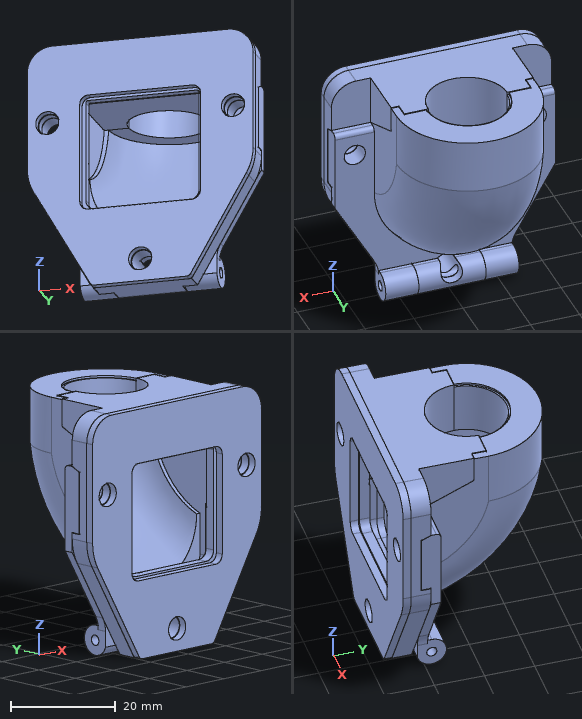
import cadquery as cq
import math


width = 45.0
height = 49.0
half_width = width / 2
shoulder_z = 22.0
taper_angle = 30.0
taper = math.tan(math.radians(taper_angle))
top_radius = 5.0
shoulder_radius = 10.0

gasket_back = 1.6
recess_floor = 3.68
flange_back = 5.6
plate_back = 7.6
pocket_back = 7.05
tab_gap = 0.1

screw_diameter = 4.3
gasket_screw_diameter = 4.55
screw_x = 18.45
screw_z = 33.55
bottom_screw_z = 4.5

window_half = 11.25
window_bottom = 15.9
window_top = 37.9
window_bottom_radius = 1.9
window_top_radius = 0.5
gasket_window_half = 12.0
gasket_window_bottom = 15.45
gasket_window_top = 38.4
gasket_window_radius = 1.7
gasket_corner_radius = 1.0

elbow_radius = 14.5
cavity_radius = 12.05
bend_axis_y = 1.0
bend_axis_z = 41.75
bore_y = 19.5
bend_z = 37.9
bend_radius = math.hypot(bore_y - bend_axis_y, bend_z - bend_axis_z)
bore_radius = 8.05
rim_radius = 8.45
rim_depth = 0.4
cover_top = height - 0.15

pocket_half = 12.95
pocket_bottom = 13.15
pocket_radius = 2.7
cheek_y = 16.6
seam_low_z = 38.0
seam_high_z = 43.6
seam_radius = 0.6
seam_slope = (seam_high_z - seam_low_z) / (cheek_y - recess_floor)

plate_top = seam_low_z + seam_slope * (flange_back - recess_floor)
plate_edge_radius = 1.0
tab_bottom = 25.9
hinge_half = 13.6
hinge_corner_radius = 5.5
hinge_radius = 3.0
hinge_y = 8.45
hinge_z = hinge_radius
pin_diameter = 2.0
knuckle_half = 6.85


def box(x_half, y_min, y_max, z_min, z_max):
    """Block centred on X = 0."""
    size = (2 * x_half, y_max - y_min, z_max - z_min)
    return cq.Workplane().box(*size, centered=(True, False, False)).translate((0, y_min, z_min))


def extrude_y(points, y_min, y_max):
    """Closed X-Z outline extruded from y_min to y_max."""
    return cq.Workplane("XZ", origin=(0, y_min, 0)).polyline(points).close().extrude(y_min - y_max)


def rod_x(radius, x_half):
    """Cylinder on the hinge axis."""
    return cq.Workplane("YZ", origin=(-x_half, hinge_y, hinge_z)).circle(radius).extrude(2 * x_half)


def round_corners_at(solid, z, radius):
    """Round the edges along Y that lie at height z."""
    margin = 0.5
    band = cq.selectors.BoxSelector((-width, -height, z - margin), (width, height, z + margin))
    return solid.edges("|Y").edges(band).fillet(radius)


def shield(y_min, y_max):
    """Shield outline with rounded top corners and shoulders."""
    foot_half = half_width - shoulder_z * taper
    right = [(half_width, height), (half_width, shoulder_z), (foot_half, 0)]
    left = [(-x, z) for x, z in reversed(right)]
    solid = extrude_y(right + left, y_min, y_max)
    solid = solid.edges("|Y").edges(">X or <X").edges(">Z").fillet(top_radius)
    return round_corners_at(solid, shoulder_z, shoulder_radius)


def screw_holes(diameter):
    """Three drills along Y, long enough to pass through every layer."""
    centres = [(-screw_x, screw_z), (screw_x, screw_z), (0, bottom_screw_z)]
    return cq.Workplane("XZ").pushPoints(centres).circle(diameter / 2).extrude(-height)


def bend(radius, flat_half, y_front):
    """Bent tube of the given radius below bend_z, filled inside the bend to flat sides."""
    reach = bend_radius + radius
    diagonal = bend_radius * math.sqrt(0.5)
    arc_middle = (bend_axis_y + diagonal, bend_axis_z - diagonal)
    arc_end = (bend_axis_y, bend_axis_z - bend_radius)
    path = cq.Workplane("YZ").moveTo(bore_y, bend_z).threePointArc(arc_middle, arc_end)
    tube = cq.Workplane("XY", origin=(0, bore_y, bend_z)).circle(radius).sweep(path)
    core = (
        cq.Workplane("YZ", origin=(-flat_half, bend_axis_y, bend_axis_z))
        .circle(bend_radius)
        .extrude(2 * flat_half)
    )
    bounds = box(width, y_front, bend_axis_y + reach, bend_axis_z - reach, bend_z)
    return tube.intersect(bounds).union(core.intersect(bounds))


def pocket():
    """Room behind the window, with its lower corners rounded."""
    solid = box(pocket_half, recess_floor, pocket_back, pocket_bottom, bend_z)
    return solid.edges("|Y and <Z").fillet(pocket_radius)


def housing_block():
    """Block between flange and bore: a sloping-bottomed body plus a tongue up to the bore."""
    wedge = (
        cq.Workplane("YZ", origin=(-elbow_radius, 0, 0))
        .moveTo(recess_floor, seam_low_z)
        .lineTo(cheek_y, seam_high_z)
        .lineTo(cheek_y, height)
        .lineTo(recess_floor, height)
        .close()
        .extrude(2 * elbow_radius)
    )
    wedge = wedge.edges("|X and >Y").edges("<Z").fillet(seam_radius)
    return wedge.union(box(pocket_half, recess_floor, bore_y, bend_z, height))


def side_tabs(gap):
    """Sloping-topped band that fills the flange recess; gap enlarges it to make the recess."""
    front = recess_floor - gap
    return (
        cq.Workplane("YZ", origin=(-half_width, 0, 0))
        .moveTo(front, tab_bottom - gap)
        .lineTo(flange_back, tab_bottom - gap)
        .lineTo(flange_back, plate_top)
        .lineTo(front, seam_low_z - seam_slope * gap)
        .close()
        .extrude(width)
    )


def cylinder_at_bore(radius, z_min):
    """Upright cylinder on the bore axis, from z_min to the top of the housing."""
    return cq.Workplane("XY", origin=(0, bore_y, z_min)).circle(radius).extrude(height - z_min)


def hinge_knuckle():
    """Middle knuckle, square where it joins the flange."""
    root = box(knuckle_half, flange_back, hinge_y, 0, 2 * hinge_radius)
    return root.union(rod_x(hinge_radius, knuckle_half))


def make_gasket():
    solid = shield(0, gasket_back).edges("|Y and <Z").fillet(gasket_corner_radius)
    opening = box(gasket_window_half, 0, gasket_back, gasket_window_bottom, gasket_window_top)
    opening = opening.edges("|Y").fillet(gasket_window_radius)
    return solid.cut(opening).cut(screw_holes(gasket_screw_diameter))


def make_housing():
    window = box(window_half, gasket_back, flange_back, window_bottom, window_top)
    window = window.edges("|Y and <Z").fillet(window_bottom_radius)
    window = window.edges("|Y and >Z").fillet(window_top_radius)
    flange = shield(gasket_back, flange_back).cut(side_tabs(tab_gap))
    solid = flange.union(housing_block()).union(hinge_knuckle())
    for opening in (window, pocket(), cylinder_at_bore(bore_radius, bend_z), screw_holes(screw_diameter)):
        solid = solid.cut(opening)
    return solid.cut(rod_x(pin_diameter / 2, knuckle_half))


def cover_outline(y_max):
    """Cover plate outline with sharp shoulders, narrowing to the width of the hinge."""
    corner_z = shoulder_z - (half_width - hinge_half) / taper
    right = [(half_width, plate_top), (half_width, shoulder_z), (hinge_half, corner_z), (hinge_half, 0)]
    left = [(-x, z) for x, z in reversed(right)]
    solid = extrude_y(right + left, flange_back, y_max)
    return round_corners_at(solid, corner_z, hinge_corner_radius)


def make_cover():
    plate = cover_outline(plate_back).intersect(box(width, 0, height, hinge_z, height))
    plate = plate.edges("|X and >Y and >Z").fillet(plate_edge_radius)
    barrel = rod_x(hinge_radius, hinge_half).union(
        box(hinge_half, flange_back, hinge_y, hinge_z, 2 * hinge_radius)
    )
    barrel = barrel.intersect(cover_outline(hinge_y + hinge_radius))

    collar = box(elbow_radius, flange_back, bore_y, bend_z, cover_top).union(
        cylinder_at_bore(elbow_radius, bend_z).intersect(box(width, bore_y, height, bend_z, cover_top))
    )
    solid = plate.union(bend(elbow_radius, elbow_radius, flange_back)).union(collar)
    solid = solid.union(side_tabs(0)).union(barrel)

    cavity = bend(cavity_radius, pocket_half, pocket_back)
    cavity = cavity.intersect(box(width, 0, height, pocket_bottom, height))
    for opening in (
        cavity,
        pocket(),
        housing_block(),
        cylinder_at_bore(bore_radius, bend_z),
        cylinder_at_bore(rim_radius, cover_top - rim_depth),
        hinge_knuckle(),
        screw_holes(screw_diameter),
        rod_x(pin_diameter / 2, hinge_half),
    ):
        solid = solid.cut(opening)
    return solid


gasket = make_gasket()
housing = make_housing()
cover = make_cover()

result = cq.Compound.makeCompound([*gasket.vals(), *housing.vals(), *cover.vals()])